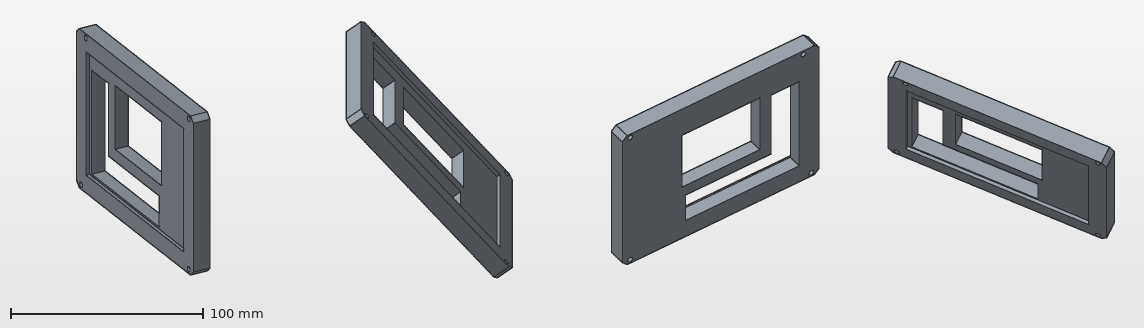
import cadquery as cq

width = 125.0
height = 92.0
thickness = 10.0
corner_chamfer = 3.0

recess_width = 104.2
recess_height = 71.2
recess_depth = 2.0

window_left = 37.8
window_bottom = 36.5
window_width = 49.5
window_height = 36.9

ell_left = 12.8
ell_bottom = 11.5
ell_width = 72.0
ell_height = 60.0
leg_width = 17.8
foot_height = 18.0

hole_diameter = 3.0
hole_inset = 5.0
upper_hole_inset = 2.5
upper_left_hole_x = 10.0
hole_places = [
    (hole_inset, upper_hole_inset),
    (width - hole_inset, upper_hole_inset),
    (upper_left_hole_x, height - upper_hole_inset),
    (width - hole_inset, height - upper_hole_inset),
]


def block(left, bottom, size_x, size_z, depth):
    """Box reaching from the front face back into the plate."""
    return cq.Workplane("XY").box(size_x, depth, size_z, centered=False).translate((left, 0, bottom))


def screw_hole(x, z):
    """Cylinder running through the plate along Y."""
    return (
        cq.Workplane("XZ", origin=(x, 0, z))
        .circle(hole_diameter / 2)
        .extrude(-thickness)
    )


plate = block(0, 0, width, height, thickness).edges("|Y").chamfer(corner_chamfer)

recess_left = (width - recess_width) / 2
recess_bottom = (height - recess_height) / 2
plate = plate.cut(block(recess_left, recess_bottom, recess_width, recess_height, recess_depth))

plate = plate.cut(block(window_left, window_bottom, window_width, window_height, thickness))

leg = block(ell_left, ell_bottom, leg_width, ell_height, thickness)
foot = block(ell_left, ell_bottom, ell_width, foot_height, thickness)
plate = plate.cut(leg).cut(foot)

for hole_x, hole_z in hole_places:
    plate = plate.cut(screw_hole(hole_x, hole_z))

result = plate